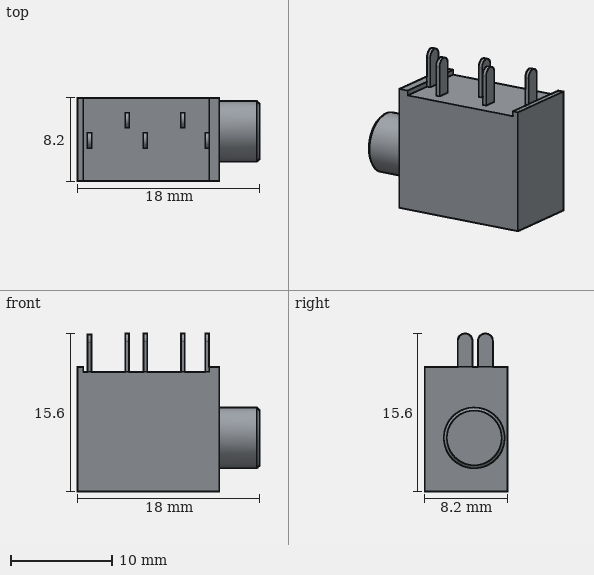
import cadquery as cq

body_length = 14.0
body_width = 8.2
body_height = 12.3
axis_to_back = 3.3
body_y_max = axis_to_back
body_y_min = body_y_max - body_width

recess_depth = 0.5
rear_rail = 0.6
front_rail = 1.0
floor_z = body_height - recess_depth
recess_length = body_length - rear_rail - front_rail

sleeve_diameter = 6.0
sleeve_length = 4.0
sleeve_chamfer = 0.3
sleeve_axis_z = 5.3

pin_thickness = 0.4
pin_width = 1.5
pin_tip_z = 15.6
short_pin_tip_z = 15.5
back_row_y = 1.1
row_pitch = 2.0
front_row_y = back_row_y - row_pitch

pins = [
    (1.0, front_row_y, short_pin_tip_z),
    (4.7, back_row_y, pin_tip_z),
    (6.5, front_row_y, pin_tip_z),
    (10.2, back_row_y, pin_tip_z),
    (body_length - front_rail - pin_thickness, front_row_y, pin_tip_z),
]


def make_body():
    """Block with the recessed top running through in Y."""
    block = cq.Workplane("XY").box(body_length, body_width, body_height, centered=False)
    recess = (
        cq.Workplane("XY")
        .box(recess_length, body_width, recess_depth, centered=False)
        .translate((rear_rail, 0, floor_z))
    )
    return block.cut(recess).translate((0, body_y_min, 0))


def make_sleeve():
    """Solid round sleeve with a chamfered outer rim."""
    return (
        cq.Workplane("YZ", origin=(body_length, 0, sleeve_axis_z))
        .circle(sleeve_diameter / 2)
        .extrude(sleeve_length)
        .faces(">X")
        .chamfer(sleeve_chamfer)
    )


def make_pin(x_start, y_center, tip_z):
    """Flat pin standing on the recess floor, with a full-radius tip."""
    half_width = pin_width / 2
    shoulder_z = tip_z - half_width
    return (
        cq.Workplane("YZ", origin=(x_start, y_center, 0))
        .moveTo(-half_width, floor_z)
        .lineTo(half_width, floor_z)
        .lineTo(half_width, shoulder_z)
        .threePointArc((0, tip_z), (-half_width, shoulder_z))
        .close()
        .extrude(pin_thickness)
    )


result = make_body().union(make_sleeve())
for x_start, y_center, tip_z in pins:
    result = result.union(make_pin(x_start, y_center, tip_z))